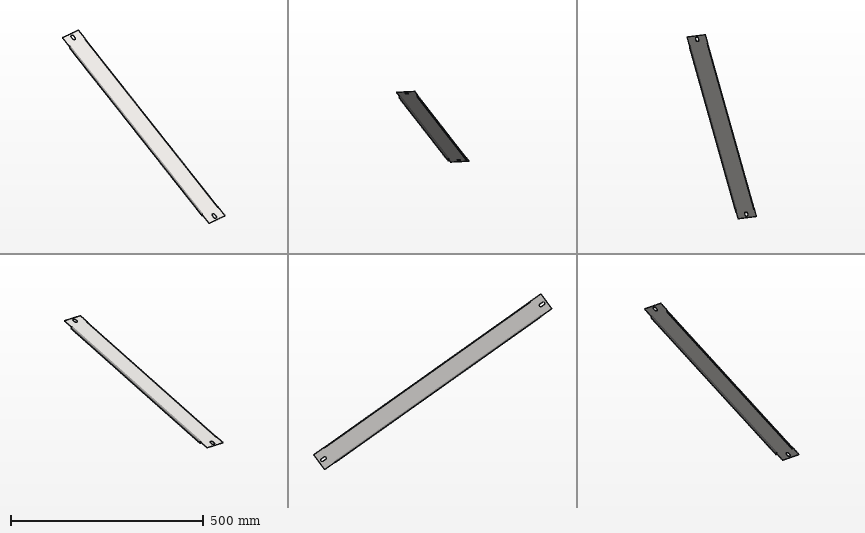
import cadquery as cq

length = 730.0
width = 49.0
height = 6.5

thickness = 1.0
inner_bend_radius = 1.0
outer_bend_radius = inner_bend_radius + thickness

tab_length = 35.0
flange_length = length - 2 * tab_length
slot_length = 16.0
slot_width = 7.0
slot_edge_distance = 14.0


def make_plate():
    """Flat face of the panel, its top at Z = 0."""
    return cq.Workplane("XY").box(length, width, thickness, centered=(True, True, False)).translate(
        (0, 0, -thickness)
    )


def make_folded_section():
    """Channel between the tabs, with both long edges bent down into flanges."""
    outer = (
        cq.Workplane("XY")
        .box(flange_length, width, height, centered=(True, True, False))
        .translate((0, 0, -height))
        .edges("|X and >Z")
        .fillet(outer_bend_radius)
    )
    inner_height = height - thickness
    inner = (
        cq.Workplane("XY")
        .box(flange_length, width - 2 * thickness, inner_height, centered=(True, True, False))
        .translate((0, 0, -height))
        .edges("|X and >Z")
        .fillet(inner_bend_radius)
    )
    return outer.cut(inner)


def make_tabs():
    """The two flat ends of the plate, beyond the folded section."""
    middle = cq.Workplane("XY").box(flange_length, width, 2 * height)
    return make_plate().cut(middle)


def make_slots():
    """Cutters for the round-ended mounting slots."""
    slot_x = length / 2 - slot_edge_distance
    return (
        cq.Workplane("XY")
        .pushPoints([(-slot_x, 0), (slot_x, 0)])
        .slot2D(slot_length, slot_width)
        .extrude(height, both=True)
    )


result = make_folded_section().union(make_tabs()).cut(make_slots())